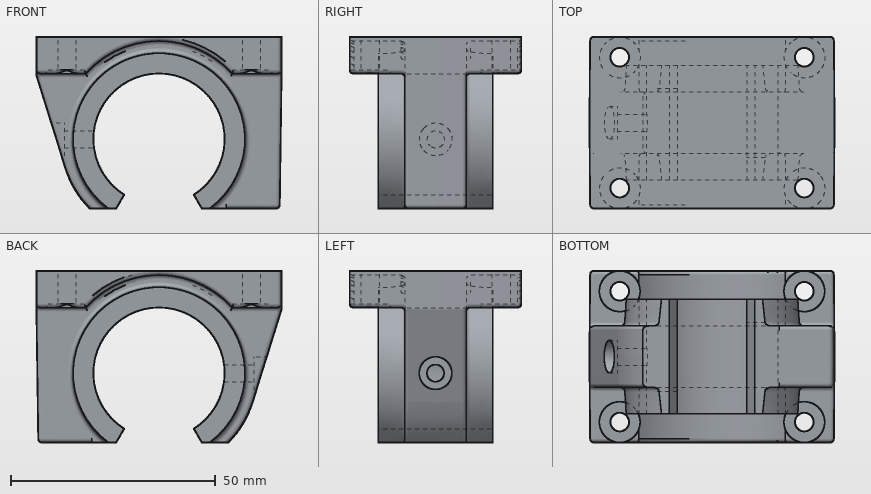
import cadquery as cq
import math

plate_length = 60.0
plate_width = 42.0
plate_thickness = 9.0
end_draft = 0.5
edge_radius = 0.95

hole_spacing_x = 45.1
hole_spacing_y = 31.95
hole_diameter = 4.5
hole_seat_diameter = 9.95
hole_seat_depth = 0.95

overall_height = 42.0
axis_depth = 25.0
bore_radius = 16.0
ring_radius = 21.0
ring_root_radius = 21.35
ring_width = 28.0
gap_width = 17.0
gap_half_angle = 30.0
recess_radius = 24.0

web_thickness = 15.0
hook_radius = 24.0
web_start_depth = 9.35
web_bend_radius = 1.2
block_draft = 0.8
block_start = 16.5

screw_diameter = 4.2
screw_seat_diameter = 8.0
screw_seat_x = -23.15

half_length = plate_length / 2
half_width = plate_width / 2
half_web = web_thickness / 2
tolerance = 0.03


def near(a, b):
    return abs(a - b) < tolerance


def cylinder_y(radius, y_start, y_end):
    base = cq.Workplane("XZ", origin=(0, y_start, -axis_depth))
    return base.circle(radius).extrude(y_start - y_end)


def make_plate():
    corner_x = half_length - half_width * math.tan(math.radians(end_draft))
    outline = [
        (half_length, 0),
        (corner_x, half_width),
        (-corner_x, half_width),
        (-half_length, 0),
        (-corner_x, -half_width),
        (corner_x, -half_width),
    ]
    plate = cq.Workplane("XY").polyline(outline).close().extrude(-plate_thickness)
    plate = plate.edges("|Z and (>Y or <Y)").fillet(edge_radius)
    for side in (-1, 1):
        recess = cylinder_y(recess_radius, side * half_web, side * plate_width)
        plate = plate.cut(recess)
    return plate


def make_web():
    rise = axis_depth - web_start_depth
    start_distance = math.hypot(half_length, rise)
    tangent_angle = math.atan2(rise, -half_length) + math.acos(hook_radius / start_distance)
    tangent_x = hook_radius * math.cos(tangent_angle)
    tangent_z = hook_radius * math.sin(tangent_angle) - axis_depth

    web_top = -plate_thickness / 2
    hook_bottom = -axis_depth - hook_radius
    foot_x = half_length + (hook_bottom + web_start_depth) * math.tan(math.radians(block_draft))
    half = (
        cq.Workplane("XZ")
        .moveTo(half_length, web_top)
        .lineTo(-half_length, web_top)
        .lineTo(-half_length, -web_start_depth)
        .lineTo(tangent_x, tangent_z)
        .radiusArc((0, hook_bottom), -hook_radius)
        .lineTo(foot_x, hook_bottom)
        .lineTo(half_length, -web_start_depth)
        .close()
        .extrude(half_web, taper=end_draft)
    )
    bend = cq.selectors.BoxSelector(
        (-half_length - web_bend_radius, -half_web, -web_start_depth - web_bend_radius),
        (-half_length + web_bend_radius, half_web, -web_start_depth + web_bend_radius),
    )
    half = half.edges(bend).fillet(web_bend_radius)
    return half.union(half.mirror("XZ"))


def trim_bottom(body):
    below = cq.Workplane("XY", origin=(0, 0, -overall_height))
    return body.cut(below.rect(2 * plate_length, 2 * plate_width).extrude(-overall_height))


def make_opening():
    bore = cylinder_y(bore_radius, -plate_width, plate_width)
    half_gap = gap_width / 2
    gap_top = -axis_depth - math.sqrt(bore_radius**2 - half_gap**2)
    gap_bottom = -overall_height - edge_radius
    half_mouth = half_gap + (gap_top - gap_bottom) * math.tan(math.radians(gap_half_angle))
    gap = (
        cq.Workplane("XZ", origin=(0, plate_width, 0))
        .polyline([
            (-half_gap, -axis_depth),
            (half_gap, -axis_depth),
            (half_gap, gap_top),
            (half_mouth, gap_bottom),
            (-half_mouth, gap_bottom),
            (-half_gap, gap_top),
        ])
        .close()
        .extrude(2 * plate_width)
    )
    return bore.union(gap)


def is_inner_corner(edge):
    box = edge.BoundingBox()
    on_web_face = near(box.ymin, box.ymax) and near(abs(box.ymin), half_web)
    return on_web_face and near(box.zmin, -plate_thickness)


def is_plate_rim(box):
    reaches_underside = near(box.zmin, -plate_thickness) and box.zmax < -tolerance
    on_front = near(box.ymin, box.ymax) and near(abs(box.ymin), half_width)
    on_end = min(abs(box.xmin), abs(box.xmax)) > half_length - 2 * edge_radius
    turns_into_web = near(box.zmin, -plate_thickness - edge_radius) and near(box.zmax, -plate_thickness)
    return (reaches_underside and (on_front or on_end)) or (on_end and turns_into_web)


def is_web_side(box):
    on_web_face = near(box.ymin, box.ymax) and near(abs(box.ymin), half_web)
    upright = box.zmax - box.zmin > tolerance and box.zmax < -plate_thickness - tolerance
    outside_bore = box.xmax < -bore_radius or box.xmin > bore_radius
    return on_web_face and upright and outside_bore


def is_block_bottom(box):
    at_bottom = near(box.zmin, -overall_height) and near(box.zmax, -overall_height)
    on_web_face = near(box.ymin, box.ymax) and near(abs(box.ymin), half_web)
    on_end = box.xmin > half_length - 2 * edge_radius
    return at_bottom and box.xmax > block_start and (on_web_face or on_end)


def is_outer_edge(edge):
    box = edge.BoundingBox()
    return is_plate_rim(box) or is_web_side(box) or is_block_bottom(box)


def fillet_where(body, test):
    chosen = [edge for edge in body.edges().vals() if test(edge)]
    return cq.Workplane(body.val().fillet(edge_radius, chosen))


def make_land():
    land_start = ring_radius / 2
    land_length = block_start - land_start
    land = cq.Workplane("XY").box(land_length, web_thickness, edge_radius, centered=(False, True, False))
    return land.translate((land_start, 0, -overall_height))


def make_ring():
    half_ring = ring_width / 2
    cove_radius = ring_root_radius + edge_radius
    cove_middle = edge_radius * (1 - math.sqrt(0.5))
    half = (
        cq.Workplane("XY")
        .lineTo(0, half_ring)
        .lineTo(ring_radius, half_ring)
        .lineTo(ring_root_radius, half_web + edge_radius)
        .threePointArc(
            (ring_root_radius + cove_middle, half_web + cove_middle),
            (cove_radius, half_web),
        )
        .lineTo(cove_radius, 0)
        .close()
        .revolve(360, (0, 0, 0), (0, 1, 0))
    )
    return half.union(half.mirror("XZ")).translate((0, 0, -axis_depth))


def cut_mounting_holes(body):
    places = [
        (side_x * hole_spacing_x / 2, side_y * hole_spacing_y / 2)
        for side_x in (-1, 1)
        for side_y in (-1, 1)
    ]
    holes = cq.Workplane("XY").pushPoints(places).circle(hole_diameter / 2).extrude(-plate_thickness)
    seats = (
        cq.Workplane("XY", origin=(0, 0, -plate_thickness))
        .pushPoints(places)
        .circle(hole_seat_diameter / 2)
        .extrude(hole_seat_depth)
    )
    return body.cut(holes).cut(seats)


def cut_screw_hole(body):
    start = cq.Workplane("YZ", origin=(-half_length, 0, -axis_depth))
    hole = start.circle(screw_diameter / 2).extrude(half_length)
    seat = start.circle(screw_seat_diameter / 2).extrude(half_length + screw_seat_x)
    return body.cut(hole).cut(seat)


opening = make_opening()
result = trim_bottom(make_plate().union(make_web())).cut(opening)
result = fillet_where(result, is_inner_corner)
result = fillet_where(result, is_outer_edge)
result = result.union(make_land()).union(make_ring())
result = trim_bottom(result).cut(opening)
result = cut_screw_hole(cut_mounting_holes(result))